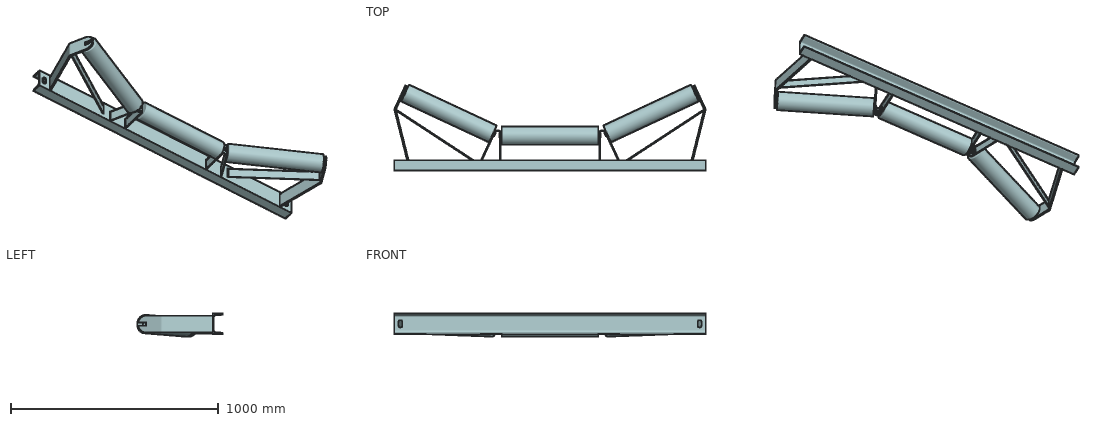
import cadquery as cq
import math


channel_length = 1500.0
channel_height = 100.0
flange_width = 50.0
web_thickness = 5.0
flange_tip_thickness = 8.0
flange_root_thickness = 10.0
channel_root_radius = 8.5
channel_toe_radius = 6.0
mount_slot_inset = 30.0
mount_slot_width = 18.0
mount_slot_height = 36.0

roller_radius = 45.0
roller_length = 465.0
roller_edge_radius = 3.0
shaft_radius = 9.0
shaft_flat_width = 15.0
shaft_overhang = 10.0
shaft_slot_overrun = 5.0
shaft_slot_depth = 120.0
swing_angle = 25.0
tilt_angle = 2.0
middle_roller_distance = 118.0
middle_roller_rise = 32.0
side_roller_offset = 486.0
side_roller_distance = 225.0
side_roller_rise = 40.0

outer_width = 81.0
outer_level = -2.0
outer_end_radius = 39.0
outer_thickness = 8.0
outer_bend_radius = 8.0
outer_foot = 684.0
outer_bend = (745.0, 245.0)
outer_arm_length = 126.0
inner_width = 60.0
inner_thickness = 5.0
inner_bend_radius = 5.0
inner_upright = 240.0
inner_top = 141.0
inner_bridge_length = 24.0
brace_thickness = 5.0
brace_width = 54.0
brace_level = 3.0
brace_foot = 372.0
foot_trim = 15.0

swing = math.radians(swing_angle)
channel_half_height = channel_height / 2
shaft_length = roller_length + 2 * shaft_overhang
middle_roller_level = middle_roller_rise - channel_half_height
side_roller_level = side_roller_rise - channel_half_height


def make_channel():
    """C-section with tapered flanges, open towards -Y, with an upright slot near each end."""
    tip_inside = channel_half_height - flange_tip_thickness
    root_inside = channel_half_height - flange_root_thickness
    beam = (
        cq.Workplane("YZ", origin=(-channel_length / 2, 0, 0))
        .polyline([
            (0, -channel_half_height),
            (-flange_width, -channel_half_height),
            (-flange_width, -tip_inside),
            (-web_thickness, -root_inside),
            (-web_thickness, root_inside),
            (-flange_width, tip_inside),
            (-flange_width, channel_half_height),
            (0, channel_half_height),
        ])
        .close()
        .extrude(channel_length)
    )
    for level in (-1, 1):
        root = cq.NearestToPointSelector((0, -web_thickness, level * root_inside))
        beam = beam.edges(root).fillet(channel_root_radius)
        toe = cq.NearestToPointSelector((0, -flange_width, level * tip_inside))
        beam = beam.edges(toe).fillet(channel_toe_radius)
    slot_place = channel_length / 2 - mount_slot_inset
    slots = (
        cq.Workplane("XZ")
        .pushPoints([(-slot_place, 0), (slot_place, 0)])
        .slot2D(mount_slot_height, mount_slot_width, 90)
        .extrude(web_thickness)
    )
    return beam.cut(slots)


def roller_plane(side):
    """Plane across a roller at mid-length: normal along the axis towards -X, x up, y towards the slot mouths.

    The side is -1 for the roller at -X, 0 for the middle one and 1 for the one at +X.
    """
    turn = -side * swing
    tilt = -side * math.radians(tilt_angle)
    center = (0, middle_roller_distance, middle_roller_level)
    if side:
        center = (side * side_roller_offset, side_roller_distance, side_roller_level)
    axis = (-math.cos(turn) * math.cos(tilt), math.sin(turn) * math.cos(tilt), math.sin(tilt))
    up = (math.cos(turn) * math.sin(tilt), -math.sin(turn) * math.sin(tilt), math.cos(tilt))
    return cq.Plane(origin=center, xDir=up, normal=axis)


def make_roller(side):
    """Roller on a shaft whose ends have two flats."""
    plane = roller_plane(side)
    shell = (
        cq.Workplane(plane)
        .workplane(offset=-roller_length / 2)
        .circle(roller_radius)
        .extrude(roller_length)
        .edges("%CIRCLE")
        .fillet(roller_edge_radius)
    )
    shaft_end = cq.Workplane(plane).workplane(offset=-shaft_length / 2)
    flats = shaft_end.rect(shaft_flat_width, 2 * shaft_radius).extrude(shaft_length)
    shaft = shaft_end.circle(shaft_radius).extrude(shaft_length).intersect(flats)
    return shell.union(shaft)


def shaft_slot(side):
    """Cutter for the open slots that hold the shaft of one roller."""
    return (
        cq.Workplane(roller_plane(side))
        .center(0, shaft_slot_depth / 2 - shaft_radius)
        .rect(shaft_flat_width, shaft_slot_depth)
        .extrude(shaft_length / 2 + shaft_slot_overrun, both=True)
    )


def make_strip(path, thickness, width, level, bend_radius):
    """Plate standing on edge behind the web, its mid-surface along the path, with rounded bends."""
    directions = []
    for (x0, y0), (x1, y1) in zip(path, path[1:]):
        length = math.hypot(x1 - x0, y1 - y0)
        directions.append(((x1 - x0) / length, (y1 - y0) / length))
    left, right, bends = [], [], []
    for i, (x, y) in enumerate(path):
        before = directions[max(i - 1, 0)]
        after = directions[min(i, len(directions) - 1)]
        reach = thickness / 2 / (1 + before[0] * after[0] + before[1] * after[1])
        shift_x = -(before[1] + after[1]) * reach
        shift_y = (before[0] + after[0]) * reach
        left.append((x + shift_x, y + shift_y))
        right.append((x - shift_x, y - shift_y))
        turn = before[0] * after[1] - before[1] * after[0]
        if turn:
            inside, outside = (left[-1], right[-1]) if turn > 0 else (right[-1], left[-1])
            bends += [(inside, bend_radius), (outside, bend_radius + thickness)]
    base = cq.Workplane("XY", origin=(0, 0, level))
    strip = base.polyline(left + right[::-1]).close().extrude(width / 2, both=True)
    for corner, radius in bends:
        strip = strip.edges(cq.NearestToPointSelector((*corner, level))).fillet(radius)
    front_side = base.rect(channel_length, 2 * foot_trim).extrude(width, both=True)
    return strip.cut(front_side.translate((0, -foot_trim, 0)))


def sunk_foot(foot, corner):
    """Point where the line from a corner through its foot on the web lies inside the trimmed-off zone."""
    return (foot + (foot - corner[0]) / corner[1] * foot_trim / 2, -foot_trim / 2)


def make_outer_bracket(side):
    """Bent plate whose rounded, slotted arm stands square to the side roller."""
    bend = (side * outer_bend[0], outer_bend[1])
    tip = (bend[0] - side * outer_arm_length * math.sin(swing), bend[1] + outer_arm_length * math.cos(swing))
    path = [sunk_foot(side * outer_foot, bend), bend, tip]
    strip = make_strip(path, outer_thickness, outer_width, outer_level, outer_bend_radius)
    across_arm = cq.Vector(math.cos(swing), side * math.sin(swing), 0)
    strip = strip.edges(cq.selectors.ParallelDirSelector(across_arm)).fillet(outer_end_radius)
    return strip.cut(shaft_slot(side))


def make_inner_bracket(side):
    """Plate bent over into two legs, one for the side roller and one for the middle roller."""
    side_corner = (side * (inner_upright + inner_bridge_length), inner_top)
    middle_corner = (side * inner_upright, inner_top)
    side_foot = side_corner[0] + side * inner_top * math.tan(swing)
    path = [
        sunk_foot(side_foot, side_corner),
        side_corner,
        middle_corner,
        sunk_foot(middle_corner[0], middle_corner),
    ]
    strip = make_strip(path, inner_thickness, inner_width, middle_roller_level, inner_bend_radius)
    return strip.cut(shaft_slot(side)).cut(shaft_slot(0))


def make_brace(side, bracket):
    """Straight strut from the web to the inside of the outer bracket's bend."""
    bend = (side * outer_bend[0], outer_bend[1])
    path = [sunk_foot(side * brace_foot, bend), bend]
    return make_strip(path, brace_thickness, brace_width, brace_level, 0).cut(bracket)


sides = (-1, 1)
channel = make_channel()
rollers = [make_roller(side) for side in (-1, 0, 1)]
outer_brackets = [make_outer_bracket(side) for side in sides]
inner_brackets = [make_inner_bracket(side) for side in sides]
braces = [make_brace(side, bracket) for side, bracket in zip(sides, outer_brackets)]

bodies = [channel, *rollers, *outer_brackets, *inner_brackets, *braces]
result = cq.Compound.makeCompound([body.solids().val() for body in bodies])